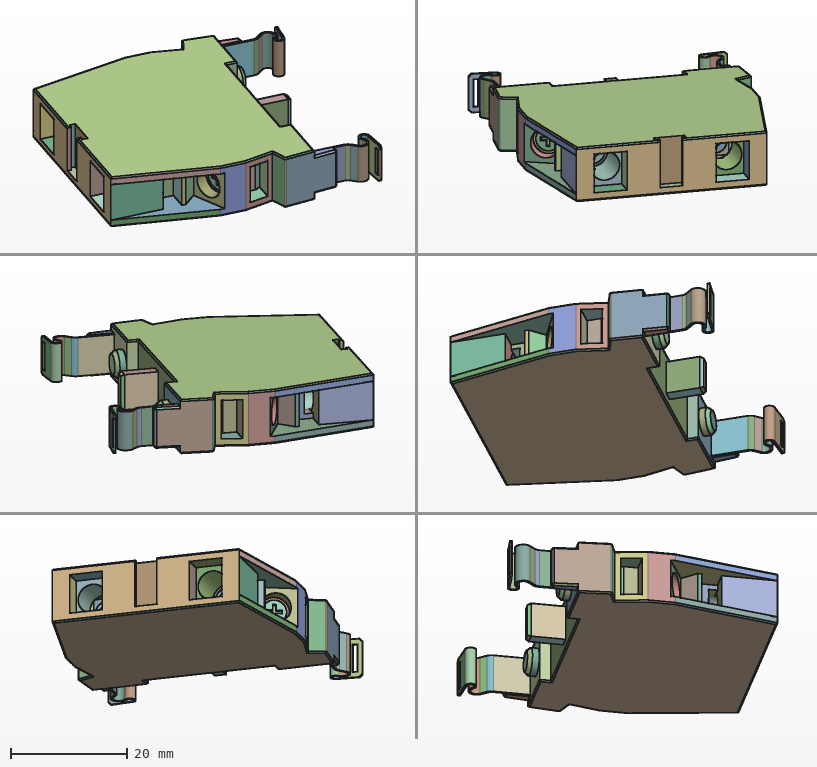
import cadquery as cq
import math

HEIGHT = 9.8
MID_Z = HEIGHT / 2
RIM_CHAMFER = 0.27
EAR_TIP_RADIUS = 0.3
FRONT_HALF_WIDTH = 17.0
BODY_HALF_WIDTH = 20.95
BODY_FRONT_Y = 18.8
BODY_REAR_Y = 23.6
NECK_HALF_WIDTH = 19.7
NECK_Y = 29.1
EAR_TIP_HALF_WIDTH = 22.6
EAR_TIP_Y = 30.2
EAR_REAR_HALF_WIDTH = 22.0
EAR_REAR_Y = 36.0
EAR_INNER_X = 11.8
RECESS_Y = 34.0

OPENING_HEIGHT = 7.0

PLUNGER_WIDTH = 2.1
PLUNGER_HEIGHT = 6.4
PLUNGER_END_Y = 40.65
PLUNGER_CHAMFER_LENGTH = 0.6
PLUNGER_CHAMFER_SIDE = 0.3
BUTTON_X = 14.4
BUTTON_RADIUS = 2.45
BUTTON_END_Y = 37.95
BUTTON_CHAMFER_LENGTH = 0.75
BUTTON_CHAMFER_SIDE = 0.6
POST_END_Y = 40.5
POST_HEIGHT = 7.4
POST_CHAMFER = 0.35

GROOVE_BASE_Z = 1.3
GROOVE_NECK_WIDTH = 4.0
GROOVE_NECK_DEPTH = 0.75
GROOVE_WIDTH = 5.5
GROOVE_DEPTH = 1.75

SCREW_HOLE_DIAMETER = 5.15
SCREW_DIAMETER = 4.2
SCREW_LENGTH = 3.0
CROSS_LENGTH = 2.6
CROSS_WIDTH = 0.6
CROSS_DEPTH = 0.6
FRONT_SCREW_X = 10.9
FRONT_POCKET_WIDTH = 5.9
FRONT_POCKET_DEPTH = 3.5
FRONT_SCREW_Y = 11.35
SIDE_FACE_TILT = 26.0
SIDE_FACE_TOP_Y = 19.6
SIDE_FACE_END_Y = 16.5
SIDE_HOLE_OFFSET = 3.7
SIDE_HOLE_DEPTH = 2.4
RIB_REAR_Y = 14.0
RIB_FRONT_Y = 13.3
CHAMBER_FRONT_Y = 9.8
CHAMBER_WALL_X = 13.3
OUTSIDE_X = 25.0

WINDOW_REAR_Y = 28.1
WINDOW_RAMP_Y = 27.05
WINDOW_FRONT_Y = 24.5
WINDOW_FLOOR_X = 17.0
WINDOW_DEEP_X = 16.4

CLIP_THICKNESS = 0.36
CLIP_X = 20.0
CLIP_ROOT_DEPTH = 3.0
CLIP_ROOT_Y = EAR_REAR_Y - CLIP_ROOT_DEPTH
CLIP_BEND_Y = 43.05
CLIP_BEND_LENGTH = 0.55
CLIP_END_X = 23.14
CLIP_END_Y = 48.17
CLIP_TIP_X = CLIP_END_X - CLIP_THICKNESS / 2
CLIP_TIP_Y = CLIP_END_Y - CLIP_THICKNESS / 2
HOOK_X = 18.72
HOOK_Y = 46.72
HOOK_RADIUS = 0.83
BULGE_RADIUS = 1.27
BULGE_DIRECTION = -42.0
TAB_CORNER = 0.56
TAB_SLOT_WIDTH = 0.85
TAB_SLOT_LENGTH = 5.0
TAB_SLOT_EDGE = 0.9


def band(points, height=OPENING_HEIGHT):
    """Prism on a closed XY outline, centred on the mid height of the housing."""
    base = cq.Workplane("XY", origin=(0, 0, MID_Z - height / 2))
    return base.polyline(points).close().extrude(height)


def both_sides(shape):
    """The given right-hand shape and its left-hand mirror image."""
    return (shape, shape.mirror("YZ"))


def on_circle(center, radius, degrees):
    angle = math.radians(degrees)
    return (center[0] + radius * math.cos(angle), center[1] + radius * math.sin(angle))


def make_shell():
    right = [
        (FRONT_HALF_WIDTH, 0),
        (BODY_HALF_WIDTH, BODY_FRONT_Y),
        (BODY_HALF_WIDTH, BODY_REAR_Y),
        (NECK_HALF_WIDTH, NECK_Y),
        (EAR_TIP_HALF_WIDTH, EAR_TIP_Y),
        (EAR_REAR_HALF_WIDTH, EAR_REAR_Y),
        (EAR_INNER_X, EAR_REAR_Y),
        (EAR_INNER_X, RECESS_Y),
    ]
    left = [(-x, y) for x, y in reversed(right)]
    shell = band(right + left, HEIGHT)
    shell = shell.edges("|Z").edges("<X or >X").fillet(EAR_TIP_RADIUS)
    return shell.faces("|Z").chamfer(RIM_CHAMFER)


def make_plunger():
    plane = cq.Plane(origin=(0, RECESS_Y, MID_Z), xDir=(1, 0, 0), normal=(0, 1, 0))
    plunger = cq.Workplane(plane).rect(PLUNGER_WIDTH, PLUNGER_HEIGHT).extrude(PLUNGER_END_Y - RECESS_Y)
    return plunger.faces(">Y").chamfer(PLUNGER_CHAMFER_LENGTH, PLUNGER_CHAMFER_SIDE)


def make_button():
    length = BUTTON_END_Y - EAR_REAR_Y
    plane = cq.Plane(origin=(BUTTON_X, EAR_REAR_Y, MID_Z), xDir=(1, 0, 0), normal=(0, 1, 0))
    button = cq.Workplane(plane).circle(BUTTON_RADIUS).extrude(length)
    return button.faces(">Y").chamfer(BUTTON_CHAMFER_LENGTH, BUTTON_CHAMFER_SIDE)


def make_post():
    """Support post behind each ear; its outer face carries on the taper of the ear."""
    taper = (EAR_TIP_HALF_WIDTH - EAR_REAR_HALF_WIDTH) / (EAR_REAR_Y - EAR_TIP_Y)
    inner_x = CLIP_X + CLIP_THICKNESS / 2
    outer_x = EAR_REAR_HALF_WIDTH - taper * (POST_END_Y - EAR_REAR_Y)
    outline = [
        (inner_x, EAR_REAR_Y),
        (EAR_REAR_HALF_WIDTH, EAR_REAR_Y),
        (outer_x, POST_END_Y),
        (inner_x, POST_END_Y),
    ]
    return band(outline, POST_HEIGHT).faces(">Y or >Z or <Z").edges(">Y or >X").chamfer(POST_CHAMFER)


def make_groove():
    height = HEIGHT - GROOVE_BASE_Z
    base = cq.Workplane("XY", origin=(0, 0, GROOVE_BASE_Z))
    neck = base.rect(GROOVE_NECK_WIDTH, 2 * GROOVE_DEPTH).extrude(height)
    wide_depth = GROOVE_DEPTH - GROOVE_NECK_DEPTH
    wide_y = (GROOVE_DEPTH + GROOVE_NECK_DEPTH) / 2
    wide = base.center(0, wide_y).rect(GROOVE_WIDTH, wide_depth).extrude(height)
    return neck.union(wide)


TILT = math.radians(SIDE_FACE_TILT)
SIDE_AXIS = (math.sin(TILT), -math.cos(TILT), 0)
SIDE_ALONG = (-math.cos(TILT), -math.sin(TILT), 0)
SIDE_SEAT = cq.Plane(
    origin=(
        BODY_HALF_WIDTH + SIDE_HOLE_OFFSET * SIDE_ALONG[0] - SIDE_HOLE_DEPTH * SIDE_AXIS[0],
        SIDE_FACE_TOP_Y + SIDE_HOLE_OFFSET * SIDE_ALONG[1] - SIDE_HOLE_DEPTH * SIDE_AXIS[1],
        MID_Z,
    ),
    xDir=SIDE_ALONG,
    normal=SIDE_AXIS,
)
FRONT_SEAT = cq.Plane(origin=(FRONT_SCREW_X, FRONT_SCREW_Y, MID_Z), xDir=(1, 0, 0), normal=(0, -1, 0))


def make_screw_hole(seat, depth):
    return cq.Workplane(seat).circle(SCREW_HOLE_DIAMETER / 2).extrude(depth)


def make_screw_seat(seat):
    """Plain bore that holds the screw below the floor of its access hole."""
    return cq.Workplane(seat).circle(SCREW_DIAMETER / 2).extrude(-SCREW_LENGTH)


def make_screw(seat):
    cross = (
        cq.Workplane(seat)
        .rect(CROSS_LENGTH, CROSS_WIDTH).extrude(-CROSS_DEPTH)
        .union(cq.Workplane(seat).rect(CROSS_WIDTH, CROSS_LENGTH).extrude(-CROSS_DEPTH))
    )
    return make_screw_seat(seat).cut(cross)


def make_front_opening():
    half = FRONT_POCKET_WIDTH / 2
    pocket = band([
        (FRONT_SCREW_X - half, 0),
        (FRONT_SCREW_X + half, 0),
        (FRONT_SCREW_X + half, FRONT_POCKET_DEPTH),
        (FRONT_SCREW_X - half, FRONT_POCKET_DEPTH),
    ])
    return pocket.union(make_screw_hole(FRONT_SEAT, FRONT_SCREW_Y - FRONT_POCKET_DEPTH))


def make_side_opening():
    """Side cut with a tilted screw face, a pointed rib and a chamber with a link to the front hole."""
    tilted_end_x = BODY_HALF_WIDTH - (SIDE_FACE_TOP_Y - SIDE_FACE_END_Y) / math.tan(TILT)
    pocket = band([
        (FRONT_HALF_WIDTH, 0),
        (FRONT_HALF_WIDTH, CHAMBER_FRONT_Y),
        (CHAMBER_WALL_X, CHAMBER_FRONT_Y),
        (CHAMBER_WALL_X, RIB_FRONT_Y),
        (FRONT_HALF_WIDTH, RIB_FRONT_Y),
        (FRONT_HALF_WIDTH, RIB_REAR_Y),
        (tilted_end_x, SIDE_FACE_END_Y),
        (BODY_HALF_WIDTH, SIDE_FACE_TOP_Y),
        (OUTSIDE_X, SIDE_FACE_TOP_Y),
        (OUTSIDE_X, 0),
    ])
    link = band(
        [
            (FRONT_SCREW_X, CHAMBER_FRONT_Y),
            (CHAMBER_WALL_X, CHAMBER_FRONT_Y),
            (CHAMBER_WALL_X, FRONT_SCREW_Y),
            (FRONT_SCREW_X, FRONT_SCREW_Y),
        ],
        SCREW_HOLE_DIAMETER,
    )
    return pocket.union(link).union(make_screw_hole(SIDE_SEAT, SIDE_HOLE_DEPTH))


def make_window():
    return band([
        (OUTSIDE_X, WINDOW_REAR_Y),
        (WINDOW_DEEP_X, WINDOW_REAR_Y),
        (WINDOW_FLOOR_X, WINDOW_RAMP_Y),
        (WINDOW_FLOOR_X, WINDOW_FRONT_Y),
        (OUTSIDE_X, WINDOW_FRONT_Y),
    ])


def make_clip_strip():
    """Strip of full height: straight leg, outward slope, bulge, inward hook, then the flat tab."""
    hook = (HOOK_X, HOOK_Y)
    bulge = on_circle(hook, HOOK_RADIUS + BULGE_RADIUS, BULGE_DIRECTION)
    joint = on_circle(hook, HOOK_RADIUS, BULGE_DIRECTION)

    leg_dx = CLIP_X - bulge[0]
    leg_dy = CLIP_BEND_Y - bulge[1]
    leg_angle = math.degrees(math.atan2(leg_dy, leg_dx))
    leg_reach = math.degrees(math.acos(BULGE_RADIUS / math.hypot(leg_dx, leg_dy)))
    bulge_start = leg_angle + leg_reach
    bulge_end = BULGE_DIRECTION + 180

    tab_dx = CLIP_TIP_X - hook[0]
    tab_dy = CLIP_TIP_Y - hook[1]
    tab_angle = math.degrees(math.atan2(tab_dy, tab_dx))
    hook_end = tab_angle + math.degrees(math.acos(HOOK_RADIUS / math.hypot(tab_dx, tab_dy)))
    hook_middle = (BULGE_DIRECTION + hook_end - 360) / 2

    slope_end = on_circle(bulge, BULGE_RADIUS, bulge_start)
    slope_angle = math.degrees(math.atan2(slope_end[1] - CLIP_BEND_Y, slope_end[0] - CLIP_X))
    corner = (CLIP_X, CLIP_BEND_Y)
    half_turn = math.radians(90 - slope_angle) / 2
    bend_radius = CLIP_BEND_LENGTH / math.tan(half_turn)
    bisector = (slope_angle - 90) / 2
    bend_middle = on_circle(corner, bend_radius * (1 / math.cos(half_turn) - 1), bisector)

    middle_line = (
        cq.Workplane("XY", origin=(0, 0, MID_Z - OPENING_HEIGHT / 2))
        .moveTo(CLIP_X, CLIP_ROOT_Y)
        .lineTo(CLIP_X, CLIP_BEND_Y - CLIP_BEND_LENGTH)
        .threePointArc(bend_middle, on_circle(corner, CLIP_BEND_LENGTH, slope_angle))
        .lineTo(*slope_end)
        .threePointArc(on_circle(bulge, BULGE_RADIUS, (bulge_start + bulge_end) / 2), joint)
        .threePointArc(
            on_circle(hook, HOOK_RADIUS, hook_middle),
            on_circle(hook, HOOK_RADIUS, hook_end),
        )
        .lineTo(CLIP_TIP_X, CLIP_TIP_Y)
    )
    return middle_line.offset2D(CLIP_THICKNESS / 2).extrude(OPENING_HEIGHT)


def make_clip():
    tab_plane = cq.Workplane("XZ", origin=(0, CLIP_TIP_Y, MID_Z))
    clip = make_clip_strip()
    for side in (-1, 1):
        edge_z = side * OPENING_HEIGHT / 2
        corner = [
            (CLIP_END_X, edge_z),
            (CLIP_END_X - TAB_CORNER, edge_z),
            (CLIP_END_X, edge_z - side * TAB_CORNER),
        ]
        clip = clip.cut(tab_plane.polyline(corner).close().extrude(TAB_CORNER, both=True))
    slot_x = CLIP_END_X - TAB_SLOT_EDGE - TAB_SLOT_WIDTH / 2
    slot = tab_plane.center(slot_x, 0).rect(TAB_SLOT_WIDTH, TAB_SLOT_LENGTH)
    return clip.cut(slot.extrude(TAB_CORNER, both=True))


def make_housing():
    housing = make_shell().union(make_plunger()).cut(make_groove())
    for added in (make_button(), make_post()):
        for shape in both_sides(added):
            housing = housing.union(shape)
    removed = (
        make_front_opening(),
        make_side_opening(),
        make_window(),
        make_screw_seat(FRONT_SEAT),
        make_screw_seat(SIDE_SEAT),
        make_clip_strip(),
    )
    for cutter in removed:
        for shape in both_sides(cutter):
            housing = housing.cut(shape)
    return housing


housing = make_housing()
clips = both_sides(make_clip())
front_screws = both_sides(make_screw(FRONT_SEAT))
side_screws = both_sides(make_screw(SIDE_SEAT))

result = cq.Compound.makeCompound(
    [housing.val()] + [body.val() for body in clips + front_screws + side_screws]
)